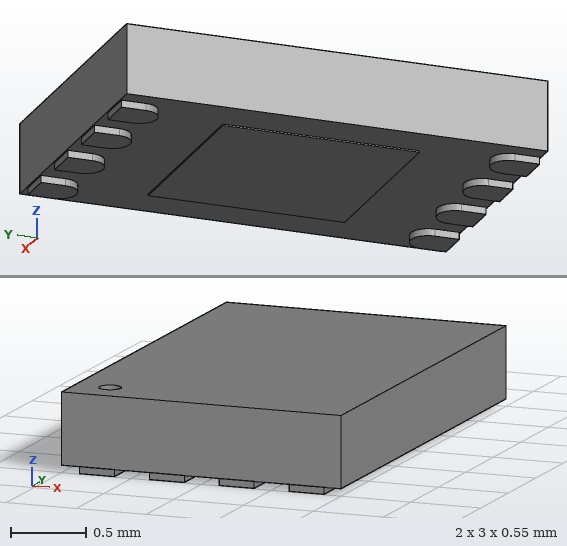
import cadquery as cq

body_width = 2.0
body_length = 3.0
body_height = 0.5

terminals_per_row = 4
terminal_pitch = 0.5
terminal_width = 0.25
terminal_length = 0.3
terminal_height = 0.05
terminal_edge_inset = 0.01

center_pad_side = 1.4
center_pad_thickness = 0.01

mark_diameter = 0.15
mark_depth = 0.05
mark_side_distance = 0.25

body_bottom = terminal_height
body_top = body_bottom + body_height


def make_body():
    return (
        cq.Workplane("XY", origin=(0, 0, body_bottom))
        .rect(body_width, body_length)
        .extrude(body_height)
    )


def make_terminal(x_center):
    """Terminal of the -Y row: square at the body edge, semicircular inside."""
    end_radius = terminal_width / 2
    outer_y = -body_length / 2 + terminal_edge_inset
    inner_y = outer_y + terminal_length
    arc_start_y = inner_y - end_radius
    left_x = x_center - end_radius
    right_x = x_center + end_radius
    return (
        cq.Workplane("XY")
        .moveTo(left_x, outer_y)
        .lineTo(right_x, outer_y)
        .lineTo(right_x, arc_start_y)
        .threePointArc((x_center, inner_y), (left_x, arc_start_y))
        .close()
        .extrude(terminal_height)
    )


def make_center_pad():
    return (
        cq.Workplane("XY", origin=(0, 0, body_bottom - center_pad_thickness))
        .rect(center_pad_side, center_pad_side)
        .extrude(center_pad_thickness)
    )


def make_pin_one_mark():
    mark_x = -body_width / 2 + mark_side_distance
    mark_y = -body_length / 2 + mark_side_distance
    return (
        cq.Workplane("XY", origin=(mark_x, mark_y, body_top - mark_depth))
        .circle(mark_diameter / 2)
        .extrude(mark_depth)
    )


result = make_body().union(make_center_pad()).cut(make_pin_one_mark())

first_terminal_x = -(terminals_per_row - 1) * terminal_pitch / 2
for index in range(terminals_per_row):
    terminal = make_terminal(first_terminal_x + index * terminal_pitch)
    result = result.union(terminal).union(terminal.mirror("XZ"))